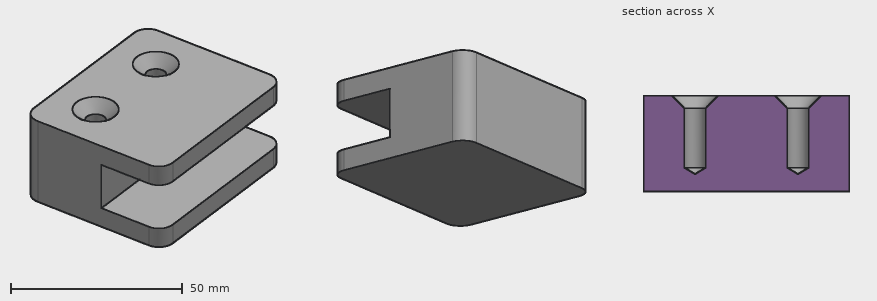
import cadquery as cq
import math

length_x = 50.0
length_y = 60.0
height = 28.0
corner_radius = 5.0

slot_depth = 22.0
slot_height = 15.0

hole_spacing = 30.0
hole_from_left = 15.0
hole_diameter = 6.2
hole_depth = 21.0
sink_diameter = 13.5
sink_angle = 90.0
tip_angle = 118.0


def make_block():
    """Upright block with rounded vertical edges, centred on the origin."""
    return cq.Workplane("XY").box(length_x, length_y, height).edges("|Z").fillet(corner_radius)


def make_slot():
    """Cutter running through the whole Y length at the +X side."""
    slot_center_x = (length_x - slot_depth) / 2
    return cq.Workplane("XY").box(slot_depth, length_y, slot_height).translate((slot_center_x, 0, 0))


def make_hole(x, y):
    """Revolved cutter: countersink, straight bore and drill tip."""
    top = height / 2
    bore_radius = hole_diameter / 2
    sink_radius = sink_diameter / 2
    sink_depth = (sink_radius - bore_radius) / math.tan(math.radians(sink_angle / 2))
    tip_depth = bore_radius / math.tan(math.radians(tip_angle / 2))
    profile = (
        cq.Workplane("XZ")
        .moveTo(0, top)
        .lineTo(sink_radius, top)
        .lineTo(bore_radius, top - sink_depth)
        .lineTo(bore_radius, top - hole_depth)
        .lineTo(0, top - hole_depth - tip_depth)
        .close()
    )
    return profile.revolve(360, (0, 0, 0), (0, 1, 0)).translate((x, y, 0))


result = make_block().cut(make_slot())
hole_x = hole_from_left - length_x / 2
for hole_y in (-hole_spacing / 2, hole_spacing / 2):
    result = result.cut(make_hole(hole_x, hole_y))